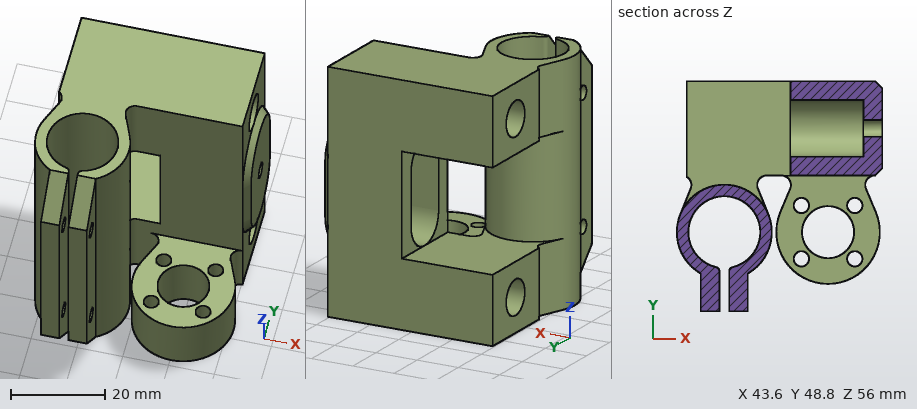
import cadquery as cq
import math

height = 56.0
mid_height = height / 2

block_left = -8.0
block_right = 32.0
block_front = 12.0
block_back = 32.0
block_mid_y = (block_front + block_back) / 2
rod_diameter = 8.1
rod_spacing = 40.0

window_height = 24.0
window_end = 14.0
end_height = (height - window_height) / 2
stadium_spacing = 12.0
recess_radius = 6.0
screw_diameter = 3.5

end_wall = 4.0
boss_radius = recess_radius + end_wall
boss_height = 1.5
boss_taper = 45.0
recess_depth = block_right + boss_height - end_wall - window_end

bore_radius = 7.6
clamp_wall = 2.5
clamp_radius = bore_radius + clamp_wall
slit_width = 2.0
slit_rounding = 1.0
lug_thickness = 4.0
lug_length = 8.0
lug_half_width = slit_width / 2 + lug_thickness
lug_root_y = -math.sqrt(clamp_radius**2 - lug_half_width**2)
lug_tip_y = lug_root_y - lug_length
lug_hole_diameter = 3.2
lug_hole_spacing = 30.0

flange_x = 22.0
flange_radius = 11.0
flange_height = 12.0
nut_diameter = 11.0
nut_bolt_circle = 16.0
nut_screw_diameter = 3.2
nut_screw_count = 4

neck_fillet = 2.0
waist_inset = 3.1


def box_between(x_range, y_range, z_range):
    """Box spanning the given (low, high) ranges."""
    size = [high - low for low, high in (x_range, y_range, z_range)]
    corner = (x_range[0], y_range[0], z_range[0])
    return cq.Workplane("XY").box(*size, centered=False).translate(corner)


def rod_along_x(diameter, start_x, end_x, y, z):
    """Cylinder along X between two X positions."""
    plane = cq.Workplane("YZ", origin=(start_x, y, z))
    return plane.circle(diameter / 2).extrude(end_x - start_x)


def stadium_along_x(radius, start_x, length, taper=0):
    """Upright stadium at the middle of the block, running toward +X."""
    plane = cq.Workplane("YZ", origin=(start_x, block_mid_y, mid_height))
    outline = plane.slot2D(stadium_spacing + 2 * radius, 2 * radius, 90)
    return outline.extrude(length, taper=taper)


def make_neck(body_radius, neck_height):
    """Web from a round body at the origin to the block front: tangent sides, then concave fillets."""
    fillet_x = body_radius - waist_inset + neck_fillet
    fillet_y = block_front - neck_fillet
    reach = math.hypot(fillet_x, fillet_y)
    side_angle = math.atan2(fillet_y, fillet_x) - math.acos((body_radius + neck_fillet) / reach)
    side_cos = math.cos(side_angle)
    side_sin = math.sin(side_angle)
    side_start = (body_radius * side_cos, body_radius * side_sin)
    side_end = (fillet_x - neck_fillet * side_cos, fillet_y - neck_fillet * side_sin)
    arc_mid_angle = (math.pi / 2 + math.pi + side_angle) / 2
    arc_mid = (
        fillet_x + neck_fillet * math.cos(arc_mid_angle),
        fillet_y + neck_fillet * math.sin(arc_mid_angle),
    )
    half = (
        cq.Workplane("XY")
        .lineTo(*side_start)
        .lineTo(*side_end)
        .threePointArc(arc_mid, (fillet_x, block_front))
        .lineTo(0, block_front)
        .close()
        .extrude(neck_height)
    )
    return half.union(half.mirror("YZ"))


def make_block():
    """Rod block with window, recess, boss, rod holes and screw hole."""
    block_y = (block_front, block_back)
    block = box_between((block_left, block_right), block_y, (0, height))
    window_z = (end_height, height - end_height)
    block = block.cut(box_between((block_left, window_end), block_y, window_z))
    block = block.union(stadium_along_x(boss_radius, block_right, boss_height, boss_taper))
    block = block.cut(stadium_along_x(recess_radius, window_end, recess_depth))
    outer_end = block_right + boss_height
    block = block.cut(rod_along_x(screw_diameter, window_end, outer_end, block_mid_y, mid_height))
    for side in (-1, 1):
        rod_z = mid_height + side * rod_spacing / 2
        block = block.cut(rod_along_x(rod_diameter, block_left, outer_end, block_mid_y, rod_z))
    return block


def make_lugs():
    """Pair of clamp lugs, still one block reaching back to the clamp axis, with screw holes."""
    lug_x = (-lug_half_width, lug_half_width)
    lugs = box_between(lug_x, (lug_tip_y, 0), (0, height))
    hole_y = lug_root_y - lug_length / 2
    for side in (-1, 1):
        hole_z = mid_height + side * lug_hole_spacing / 2
        hole = rod_along_x(lug_hole_diameter, -lug_half_width, lug_half_width, hole_y, hole_z)
        lugs = lugs.cut(hole)
    return lugs


def make_clamp_envelope():
    """Side outline of the clamp: 45 degree slopes run from the lug roots to the lug tips."""
    side_profile = [
        (block_front, 0),
        (lug_root_y, 0),
        (lug_tip_y, lug_length),
        (lug_tip_y, height - lug_length),
        (lug_root_y, height),
        (block_front, height),
    ]
    plane = cq.Workplane("YZ", origin=(-clamp_radius, 0, 0))
    return plane.polyline(side_profile).close().extrude(2 * clamp_radius)


def make_clamp_opening():
    """Bore and slit, with the corners between them rounded."""
    bore = cq.Workplane("XY").circle(bore_radius).extrude(height)
    slit_y = (lug_tip_y, 0)
    slit = box_between((-slit_width / 2, slit_width / 2), slit_y, (0, height))
    corner_y = -math.sqrt(bore_radius**2 - (slit_width / 2) ** 2)
    opening = bore.union(slit)
    for side in (-1, 1):
        corner = (side * slit_width / 2, corner_y, mid_height)
        opening = opening.edges(cq.selectors.NearestToPointSelector(corner)).fillet(slit_rounding)
    return opening


def make_clamp():
    """Split clamp with its lugs and a neck at each end of the window."""
    clamp = cq.Workplane("XY").circle(clamp_radius).extrude(height)
    neck = make_neck(clamp_radius, end_height)
    beyond_block = box_between(
        (-clamp_radius, block_left), (block_front - neck_fillet, block_front), (0, end_height)
    )
    neck = neck.cut(beyond_block)
    for neck_z in (0, height - end_height):
        clamp = clamp.union(neck.translate((0, 0, neck_z)))
    clamp = clamp.union(make_lugs()).intersect(make_clamp_envelope())
    return clamp.cut(make_clamp_opening())


def make_flange():
    """Nut flange with its centre hole and ring of screw holes."""
    flange = cq.Workplane("XY").circle(flange_radius).extrude(flange_height)
    flange = flange.union(make_neck(flange_radius, flange_height))
    nut_hole = cq.Workplane("XY").circle(nut_diameter / 2).extrude(flange_height)
    first_screw_angle = 180 / nut_screw_count
    screw_holes = (
        cq.Workplane("XY")
        .polarArray(nut_bolt_circle / 2, first_screw_angle, 360, nut_screw_count)
        .circle(nut_screw_diameter / 2)
        .extrude(flange_height)
    )
    return flange.cut(nut_hole).cut(screw_holes).translate((flange_x, 0, 0))


result = make_block().union(make_clamp()).union(make_flange())